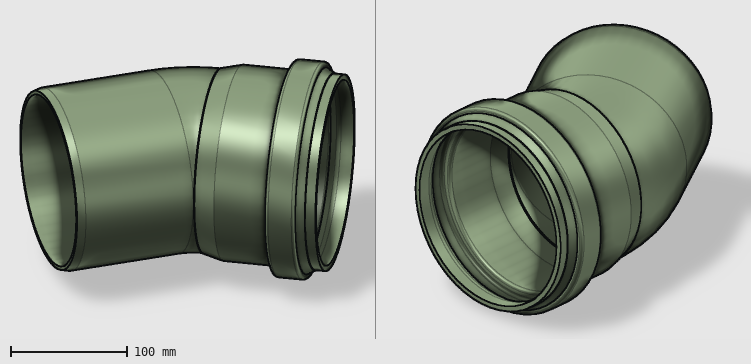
import cadquery as cq
import math

bend_angle = 30.0
bend_radius = 80.8

spigot_radius = 160.0 / 2
bore_radius = 150.0 / 2
spigot_length = 104.5
spigot_chamfer_length = 7.0
spigot_chamfer_depth = 2.0

shoulder_radius = 161.0 / 2
shoulder_bore_radius = bore_radius + shoulder_radius - spigot_radius
socket_radius = 170.0 / 2
socket_bore_radius = 160.8 / 2
ring_radius = 189.0 / 2
groove_radius = 179.4 / 2
lip_radius = 170.5 / 2

shoulder_end = 0.8
cone_end = 18.5
ring_start = 65.0
ring_end = 91.2
lip_start = 98.8
socket_length = 107.8

ring_wall = ring_radius - groove_radius
groove_start = ring_start + ring_wall
groove_end = ring_end - ring_wall
groove_mouth_radius = 84.8
bore_cone_length = (groove_mouth_radius - socket_bore_radius) / math.tan(math.radians(30))
lip_bore_start = groove_end + bore_cone_length

ring_fillet = 2.8
root_fillet = 0.8
lip_bore_fillet = 8.5


def revolved(profile):
    """Solid of revolution about Y from (radius, distance) points, closed along the axis."""
    points = [(0, profile[0][1])] + profile + [(0, profile[-1][1])]
    return cq.Workplane("XY").polyline(points).close().revolve(360, (0, 0, 0), (0, 1, 0))


def round_edge(body, edge_radius, distance, fillet):
    """Fillet the circular edge of the given radius at the given distance along Y."""
    tolerance = 0.003

    def is_wanted(edge):
        same_radius = abs(edge.radius() - edge_radius) < tolerance
        return same_radius and abs(edge.Center().y - distance) < tolerance

    return body.edges("%CIRCLE").filter(is_wanted).fillet(fillet)


def bend(radius):
    """Solid torus segment starting at the inner end of the spigot."""
    return (
        cq.Workplane("XZ", origin=(0, spigot_length, 0))
        .circle(radius)
        .revolve(bend_angle, (bend_radius, 0, 0), (bend_radius, -1, 0))
    )


def on_socket_axis(body):
    """Move a body built along Y from the origin to the outlet of the bend."""
    angle = math.radians(bend_angle)
    outlet_x = bend_radius * (1 - math.cos(angle))
    outlet_y = spigot_length + bend_radius * math.sin(angle)
    return body.rotate((0, 0, 0), (0, 0, 1), -bend_angle).translate((outlet_x, outlet_y, 0))


spigot_outside = revolved([
    (spigot_radius - spigot_chamfer_depth, 0),
    (spigot_radius, spigot_chamfer_length),
    (spigot_radius, spigot_length),
])
spigot_bore = revolved([(bore_radius, 0), (bore_radius, spigot_length)])

socket_outside = revolved([
    (spigot_radius, 0),
    (shoulder_radius, shoulder_end),
    (socket_radius, cone_end),
    (socket_radius, ring_start),
    (ring_radius, ring_start),
    (ring_radius, ring_end),
    (groove_radius, ring_end),
    (lip_radius, lip_start),
    (lip_radius, socket_length),
])
for edge_radius, distance, fillet in [
    (socket_radius, ring_start, root_fillet),
    (ring_radius, ring_start, ring_fillet),
    (ring_radius, ring_end, ring_fillet),
    (lip_radius, lip_start, root_fillet),
]:
    socket_outside = round_edge(socket_outside, edge_radius, distance, fillet)

socket_bore = revolved([
    (bore_radius, 0),
    (shoulder_bore_radius, shoulder_end),
    (socket_bore_radius, cone_end),
    (socket_bore_radius, groove_start),
    (groove_radius, groove_start),
    (groove_radius, groove_end),
    (groove_mouth_radius, groove_end),
    (socket_bore_radius, lip_bore_start),
    (socket_bore_radius, socket_length),
])

for edge_radius, distance, fillet in [
    (socket_bore_radius, groove_start, ring_fillet),
    (groove_radius, groove_start, ring_fillet),
    (groove_radius, groove_end, ring_fillet),
    (socket_bore_radius, lip_bore_start, lip_bore_fillet),
]:
    socket_bore = round_edge(socket_bore, edge_radius, distance, fillet)

outside = spigot_outside.union(bend(spigot_radius)).union(on_socket_axis(socket_outside))
result = outside.cut(spigot_bore).cut(bend(bore_radius)).cut(on_socket_axis(socket_bore))